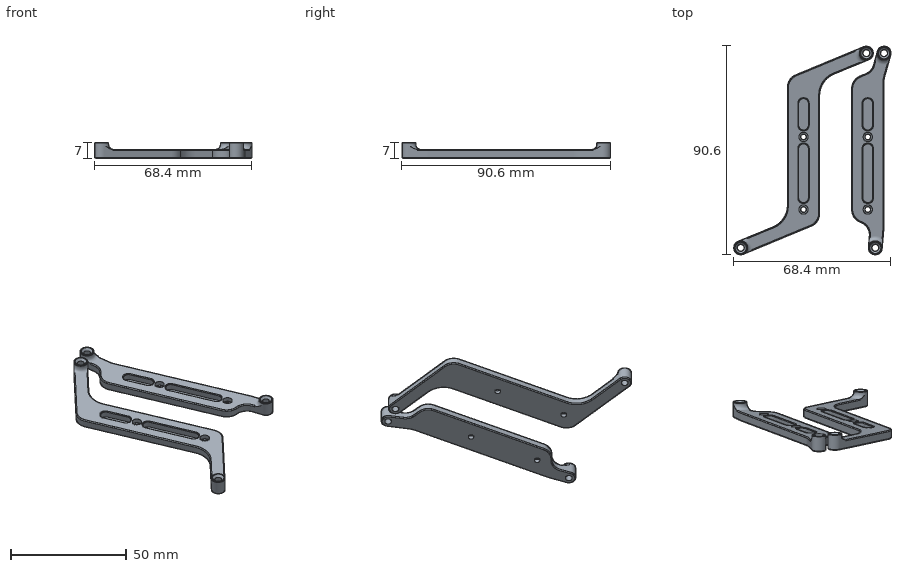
import cadquery as cq
import math

overall_length = 90.6

plate_thickness = 4.0
plate_width = 14.0
edge_chamfer = 0.45
left_plate_x = -3.8
right_plate_x = 24.1
shoulder_angle = 22.5
neck_radius = 5.6
outer_radius = 6.0
inner_radius = 10.0

boss_diameter = 6.1
boss_height = 7.0
boss_rim_chamfer = 0.3
boss_hole_diameter = 2.9
boss_sink_diameter = 4.9
boss_sink_depth = 1.0
cove_radius = 2.0
left_arm_reach = 27.3
right_top_boss_x = 31.2
right_bottom_boss_x = 27.4
right_top_arm_lean = 15.5
right_bottom_arm_lean = 5.0
right_top_corner_y = 30.8
right_bottom_corner_y = -29.6

screw_hole_diameter = 2.4
screw_bore_diameter = 4.0
screw_bore_depth = 2.0
screw_hole_ys = (5.9, -25.6)
slot_width = 4.3
slot_depth = 3.0
slot_chamfer = 0.4
slot_chamfer_angle = 45
slot_spans = ((8.9, 22.6), (-22.65, 2.9))

boss_radius = boss_diameter / 2
boss_y = (overall_length - boss_diameter) / 2
half_width = plate_width / 2


def polar(angle, length=1.0):
    """Vector of the given length at an angle in degrees from +X."""
    return cq.Vector(length * math.cos(math.radians(angle)), length * math.sin(math.radians(angle)))


def crossing(point_a, angle_a, point_b, angle_b):
    """Point where two lines meet, each given by a point and its angle."""
    dir_a = polar(angle_a)
    dir_b = polar(angle_b)
    gap = point_b - point_a
    along_a = gap.cross(dir_b).z / dir_a.cross(dir_b).z
    return point_a + dir_a * along_a


def boss_sides(centre, angle):
    """Points on the boss circle, to the left and right of a heading, where the arm's sides touch it."""
    return centre + polar(angle + 90, boss_radius), centre + polar(angle - 90, boss_radius)


def prism(points, height):
    """Upright body on the XY plane with a straight-sided outline."""
    return cq.Workplane("XY").polyline([p.toTuple()[:2] for p in points]).close().extrude(height)


def fillet_corner(body, corner, radius):
    """Round the upright edge at one corner of a plate's outline."""
    edge_middle = (corner.x, corner.y, plate_thickness / 2)
    return body.edges("|Z").edges(cq.selectors.NearestToPointSelector(edge_middle)).fillet(radius)


def disc(centre, diameter, height):
    """Upright cylinder standing on the XY plane."""
    return cq.Workplane("XY").center(centre.x, centre.y).circle(diameter / 2).extrude(height)


def left_outline():
    """Z-shaped plate, the same when turned half way round its middle, and its arms."""
    angle = shoulder_angle
    top = cq.Vector(left_plate_x + left_arm_reach, boss_y)
    bottom = cq.Vector(left_plate_x - left_arm_reach, -boss_y)
    top_upper, top_lower = boss_sides(top, angle)
    bottom_upper, bottom_lower = boss_sides(bottom, angle)
    left_edge = cq.Vector(left_plate_x - half_width, 0)
    right_edge = cq.Vector(left_plate_x + half_width, 0)
    top_outer = crossing(left_edge, 90, top_upper, angle)
    top_inner = crossing(right_edge, 90, top_lower, angle)
    bottom_inner = crossing(left_edge, 90, bottom_upper, angle)
    bottom_outer = crossing(right_edge, 90, bottom_lower, angle)
    corners = [top_upper, top_outer, bottom_inner, bottom_upper]
    corners += [bottom_lower, bottom_outer, top_inner, top_lower]
    body = prism(corners, plate_thickness)
    for corner in (top_outer, bottom_outer):
        body = fillet_corner(body, corner, outer_radius)
    for corner in (top_inner, bottom_inner):
        body = fillet_corner(body, corner, inner_radius)
    return body, [(top, angle + 180), (bottom, angle)]


def right_outline():
    """Plate with a straight outer edge and a short neck at each end, and its arms."""
    top = cq.Vector(right_top_boss_x, boss_y)
    bottom = cq.Vector(right_bottom_boss_x, -boss_y)
    top_angle = 90 - right_top_arm_lean
    bottom_angle = 90 - right_bottom_arm_lean
    top_left, top_right = boss_sides(top, top_angle)
    bottom_left, bottom_right = boss_sides(bottom, bottom_angle)
    left_x = right_plate_x - half_width
    right_edge = cq.Vector(right_plate_x + half_width, 0)
    top_corner = cq.Vector(left_x, right_top_corner_y)
    bottom_corner = cq.Vector(left_x, right_bottom_corner_y)
    top_neck = crossing(top_corner, shoulder_angle, top_left, top_angle)
    bottom_neck = crossing(bottom_corner, -shoulder_angle, bottom_left, bottom_angle)
    top_bend = crossing(right_edge, 90, top_right, top_angle)
    bottom_bend = crossing(right_edge, 90, bottom_right, bottom_angle)
    corners = [top_left, top_neck, top_corner, bottom_corner, bottom_neck, bottom_left]
    corners += [bottom_right, bottom_bend, top_bend, top_right]
    body = prism(corners, plate_thickness)
    for corner in (top_corner, bottom_corner):
        body = fillet_corner(body, corner, outer_radius)
    for corner in (top_neck, bottom_neck):
        body = fillet_corner(body, corner, neck_radius)
    body = fillet_corner(body, top_bend, inner_radius)
    return body, [(top, top_angle + 180), (bottom, bottom_angle)]


def boss(centre, heading):
    """Upright boss with a cove that runs down onto the arm and stops at the arm's sides."""
    post = disc(centre, boss_diameter, boss_height).faces(">Z").chamfer(boss_rim_chamfer)
    post = post.faces("<Z").chamfer(edge_chamfer)
    cove_base = plate_thickness - edge_chamfer
    cove_reach = boss_radius + cove_radius
    cove = (
        cq.Workplane("XZ")
        .moveTo(0, cove_base)
        .lineTo(cove_reach, cove_base)
        .lineTo(cove_reach, plate_thickness)
        .radiusArc((boss_radius, plate_thickness + cove_radius), cove_radius)
        .lineTo(0, plate_thickness + cove_radius)
        .close()
        .revolve(360, (0, 0, 0), (0, 1, 0))
    )
    arm = cq.Workplane("XY").rect(cove_reach, boss_diameter).extrude(boss_height)
    arm = arm.translate((cove_reach / 2, 0, 0)).rotate((0, 0, 0), (0, 0, 1), heading)
    return post.union(cove.intersect(arm).translate(centre.toTuple()))


def boss_bore(centre):
    """Through hole with a conical sink at the top."""
    hole = disc(centre, boss_hole_diameter, boss_height)
    sink = (
        cq.Workplane("XY", origin=(centre.x, centre.y, boss_height))
        .circle(boss_sink_diameter / 2)
        .workplane(offset=-boss_sink_depth)
        .circle(boss_hole_diameter / 2)
        .loft()
    )
    return hole.union(sink)


def screw_hole(x, y):
    """Through hole with a counterbore from the top."""
    centre = cq.Vector(x, y)
    bore_floor = plate_thickness - screw_bore_depth
    bore = disc(centre, screw_bore_diameter, screw_bore_depth).translate((0, 0, bore_floor))
    return disc(centre, screw_hole_diameter, plate_thickness).union(bore)


def slot(x, span):
    """Blind round-ended pocket with a chamfered mouth."""
    low, high = span
    middle = (low + high) / 2
    length = high - low
    mouth_length = length + 2 * slot_chamfer
    mouth_width = slot_width + 2 * slot_chamfer
    top = cq.Workplane("XY", origin=(x, middle, plate_thickness))
    pocket = top.slot2D(length, slot_width, 90).extrude(-slot_depth)
    mouth = top.slot2D(mouth_length, mouth_width, 90).extrude(-slot_chamfer, taper=slot_chamfer_angle)
    return pocket.union(mouth)


def bracket(outline, arms, plate_x):
    """Finished bracket; arms lists each boss centre with the heading of its arm away from the boss."""
    body = outline
    for centre, _ in arms:
        body = body.union(disc(centre, boss_diameter, plate_thickness))
    body = body.faces("<Z or >Z").chamfer(edge_chamfer)
    for centre, heading in arms:
        body = body.union(boss(centre, heading))
    for centre, _ in arms:
        body = body.cut(boss_bore(centre))
    for y in screw_hole_ys:
        body = body.cut(screw_hole(plate_x, y))
    for span in slot_spans:
        body = body.cut(slot(plate_x, span))
    return body


left_bracket = bracket(*left_outline(), left_plate_x)
right_bracket = bracket(*right_outline(), right_plate_x)

result = cq.Compound.makeCompound([left_bracket.val(), right_bracket.val()])